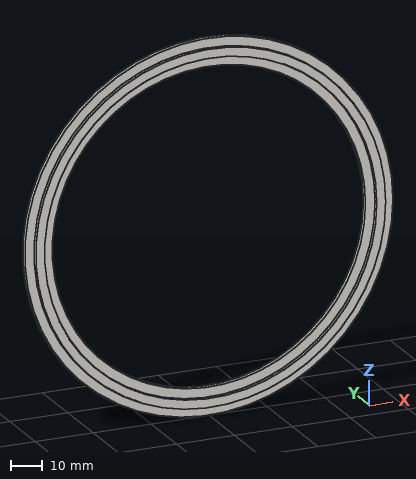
import cadquery as cq

outer_diameter = 127.0
bore_diameter = 108.0
rib_outer_diameter = 120.6
rib_inner_diameter = 114.5
total_thickness = 3.2
flange_thickness = 1.8
rib_height = total_thickness - flange_thickness


def ring(outside, inside, front_y, thickness):
    """Ring whose -Y face lies at front_y and which extends toward +Y."""
    front_face = cq.Workplane("XZ", origin=(0, front_y, 0))
    return front_face.circle(outside / 2).circle(inside / 2).extrude(-thickness)


flange = ring(outer_diameter, bore_diameter, 0, flange_thickness)
rib = ring(rib_outer_diameter, rib_inner_diameter, -rib_height, rib_height)

result = flange.union(rib)